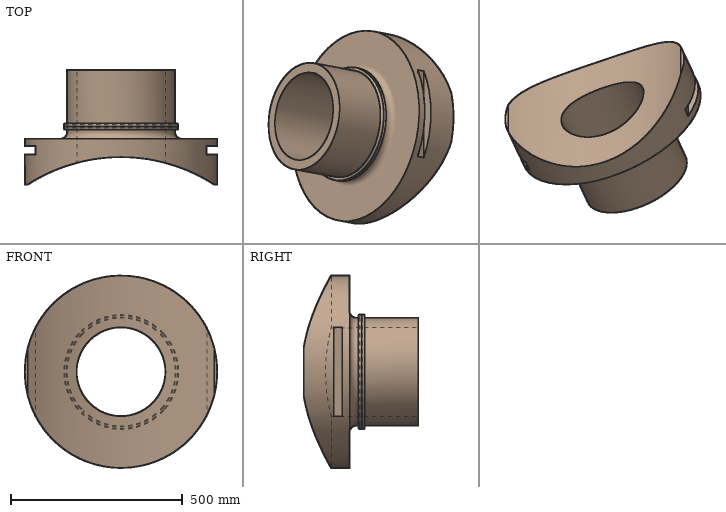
import cadquery as cq
import math

flange_radius = 280.0
flange_depth = 133.0
saddle_rise = 79.5
saddle_half_width = 270.5

overall_depth = 333.0
pipe_radius = 157.5
bore_radius = 129.0
root_fillet = 19.5

bead_radius = 5.0
bead_ring_radius = 162.0
bead_middle_y = 168.5
bead_pitch = 9.0

slot_front_y = 88.0
slot_width = 23.5
slot_floor_x = 248.5


def cylinder_along_y(radius, start_y, end_y):
    """Solid cylinder about the Y axis between two Y positions."""
    return cq.Workplane("XZ", origin=(0, start_y, 0)).circle(radius).extrude(start_y - end_y)


def make_pipe():
    """Revolved pipe wall flaring into the back of the flange."""
    flare_mid = root_fillet * (1 - math.sqrt(0.5))
    return (
        cq.Workplane("XY")
        .moveTo(0, flange_depth - root_fillet)
        .lineTo(pipe_radius + root_fillet, flange_depth - root_fillet)
        .lineTo(pipe_radius + root_fillet, flange_depth)
        .threePointArc(
            (pipe_radius + flare_mid, flange_depth + flare_mid),
            (pipe_radius, flange_depth + root_fillet),
        )
        .lineTo(pipe_radius, overall_depth)
        .lineTo(0, overall_depth)
        .close()
        .revolve(360, (0, 0, 0), (0, 1, 0))
    )


def make_bead(center_y):
    """Round ring partly sunk into the pipe wall."""
    return (
        cq.Workplane("XY")
        .center(bead_ring_radius, center_y)
        .circle(bead_radius)
        .revolve(360, (-bead_ring_radius, 0, 0), (-bead_ring_radius, 1, 0))
    )


def make_saddle_cutter():
    """Cylindrical segment along Z that hollows the front of the flange."""
    return (
        cq.Workplane("XY", origin=(0, 0, -flange_radius))
        .moveTo(-saddle_half_width, 0)
        .threePointArc((0, saddle_rise), (saddle_half_width, 0))
        .close()
        .extrude(2 * flange_radius)
    )


def make_slot_cutter(side):
    """Slot cutter along Z; side is +1 or -1 along X."""
    slot_depth = flange_radius - slot_floor_x
    return cq.Workplane("XY").box(slot_depth, slot_width, 2 * flange_radius).translate(
        (side * (slot_floor_x + slot_depth / 2), slot_front_y + slot_width / 2, 0)
    )


result = cylinder_along_y(flange_radius, 0, flange_depth).cut(make_saddle_cutter())
for side in (-1, 1):
    result = result.cut(make_slot_cutter(side))

result = result.union(make_pipe())
for offset in (-bead_pitch / 2, bead_pitch / 2):
    result = result.union(make_bead(bead_middle_y + offset))

result = result.cut(cylinder_along_y(bore_radius, 0, overall_depth))